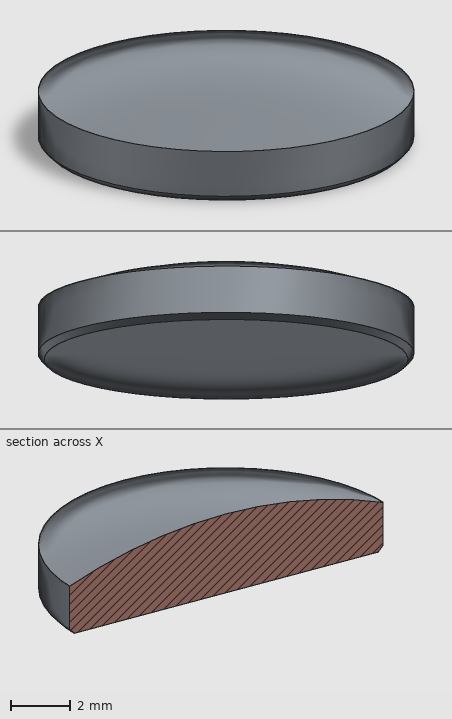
import cadquery as cq

diameter = 12.7
total_height = 2.93
edge_height = 1.8
base_chamfer = 0.2

radius = diameter / 2
dome_height = total_height - edge_height
dome_radius = (radius**2 + dome_height**2) / (2 * dome_height)

sphere_centre_z = total_height - dome_radius
mid_x = radius / 2
mid_z = sphere_centre_z + (dome_radius**2 - mid_x**2) ** 0.5

half_section = (
    cq.Workplane("XZ")
    .lineTo(radius - base_chamfer, 0)
    .lineTo(radius, base_chamfer)
    .lineTo(radius, edge_height)
    .threePointArc((mid_x, mid_z), (0, total_height))
    .close()
)

result = half_section.revolve(360, (0, 0, 0), (0, 1, 0))